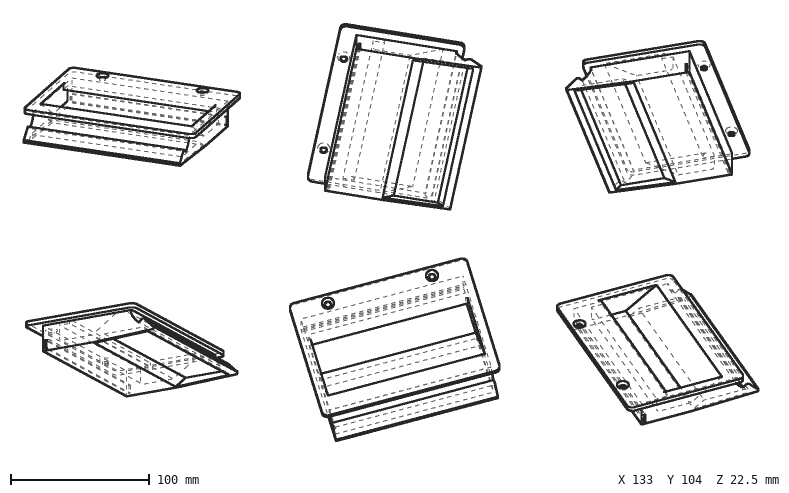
import cadquery as cq
import math

PLATE_WIDTH = 133.0
PLATE_LENGTH = 91.0
PLATE_THICKNESS = 3.2
PLATE_CORNER_RADIUS = 4.0
PLATE_BACK = PLATE_LENGTH / 2
PLATE_FRONT = -PLATE_LENGTH / 2

SCREW_DIAMETER = 4.5
SCREW_HEAD_DIAMETER = 8.6
SCREW_SPACING = 78.0
SCREW_EDGE_DISTANCE = 7.0
COUNTERSINK_ANGLE = 90.0

TOTAL_LENGTH = 104.0
TOTAL_HEIGHT = 22.5
BODY_WIDTH = 121.5
BODY_BACK = PLATE_BACK - 12.2
BODY_BOTTOM = -TOTAL_HEIGHT
BOTTOM_BEND = PLATE_BACK - 54.0
BOTTOM_SLOPE_END = -20.5

HOOK_FRONT = PLATE_BACK - TOTAL_LENGTH
HOOK_EDGE_RADIUS = 1.0
HOOK_LEDGE_WIDTH = 0.5
HOOK_LEDGE_Z = -18.4
RIDGE_Z = -11.1
RIDGE_RADIUS = 2.0

GROOVE_TOP_Y = PLATE_FRONT + 5.0
GROOVE_BACK_Y = PLATE_FRONT + 5.6
GROOVE_BACK_Z = -4.8
GROOVE_JOIN_Y = PLATE_FRONT + 5.4
GROOVE_JOIN_Z = -5.8
GROOVE_BOTTOM_Z = -13.6
GROOVE_RADIUS = 18.0

POCKET_WIDTH = 117.6
POCKET_DEPTH = 16.2
POCKET_FRONT = PLATE_BACK - 76.1
POCKET_FLOOR_FRONT = PLATE_BACK - 52.0
POCKET_BACK = PLATE_BACK - 24.9
POCKET_FLOOR_RADIUS = 2.3
LIP_EDGE = PLATE_BACK - 33.2
LIP_RADIUS = 2.5
LIP_THICKNESS = 4.4

RECESS_FRONT = HOOK_FRONT + 4.0
RECESS_CEILING = -17.0

SLOT_WIDTH = 1.2
SLOT_HEIGHT = 6.0
SLOT_CENTRE_Y = BODY_BACK - 2.45
SLOT_CENTRE_Z = -17.5


def extrude_across(profile, width):
    """Extrude a YZ profile to the given width, centred on X = 0."""
    return profile.close().extrude(width / 2, both=True)


def make_plate():
    return (
        cq.Workplane("XY")
        .box(PLATE_WIDTH, PLATE_LENGTH, PLATE_THICKNESS, centered=(True, True, False))
        .translate((0, 0, -PLATE_THICKNESS))
        .edges("|Z")
        .fillet(PLATE_CORNER_RADIUS)
    )


def make_body():
    top_z = -PLATE_THICKNESS
    ledge_back = HOOK_FRONT + HOOK_LEDGE_WIDTH
    corner_z = RIDGE_Z + RIDGE_RADIUS * (math.sqrt(2) - 1)
    corner_y = ledge_back + (corner_z - HOOK_LEDGE_Z)
    tangent_offset = RIDGE_RADIUS / math.sqrt(2)
    tangent_z = corner_z - tangent_offset
    groove_bottom_y = corner_y + (corner_z - GROOVE_BOTTOM_Z)
    profile = (
        cq.Workplane("YZ")
        .moveTo(BODY_BACK, top_z)
        .lineTo(BODY_BACK, BODY_BOTTOM)
        .lineTo(BOTTOM_BEND, BODY_BOTTOM)
        .lineTo(HOOK_FRONT, BOTTOM_SLOPE_END)
        .lineTo(HOOK_FRONT, HOOK_LEDGE_Z)
        .lineTo(ledge_back, HOOK_LEDGE_Z)
        .lineTo(corner_y - tangent_offset, tangent_z)
        .threePointArc((corner_y, RIDGE_Z), (corner_y + tangent_offset, tangent_z))
        .lineTo(groove_bottom_y, GROOVE_BOTTOM_Z)
        .radiusArc((GROOVE_JOIN_Y, GROOVE_JOIN_Z), -GROOVE_RADIUS)
        .threePointArc((GROOVE_BACK_Y, GROOVE_BACK_Z), (GROOVE_TOP_Y, top_z))
    )
    body = extrude_across(profile, BODY_WIDTH)
    nose_edge = cq.selectors.NearestToPointSelector((0, HOOK_FRONT, BOTTOM_SLOPE_END))
    return body.edges(nose_edge).fillet(HOOK_EDGE_RADIUS)


def make_underside_recess():
    """Hollow behind the hook, between the side walls and the sloped pocket shell."""
    slope_run = (POCKET_FLOOR_FRONT - POCKET_FRONT) / POCKET_DEPTH
    ceiling_rise = RECESS_CEILING - BODY_BOTTOM
    profile = (
        cq.Workplane("YZ")
        .moveTo(BOTTOM_BEND, BODY_BOTTOM)
        .lineTo(BOTTOM_BEND - slope_run * ceiling_rise, RECESS_CEILING)
        .lineTo(RECESS_FRONT + ceiling_rise, RECESS_CEILING)
        .lineTo(RECESS_FRONT, BODY_BOTTOM)
    )
    return extrude_across(profile, POCKET_WIDTH)


def make_pocket():
    floor_z = -POCKET_DEPTH
    lip_top_y = LIP_EDGE + LIP_RADIUS
    profile = (
        cq.Workplane("YZ")
        .moveTo(POCKET_FRONT, 0)
        .lineTo(POCKET_FLOOR_FRONT, floor_z)
        .lineTo(POCKET_BACK - POCKET_FLOOR_RADIUS, floor_z)
        .radiusArc((POCKET_BACK, floor_z + POCKET_FLOOR_RADIUS), -POCKET_FLOOR_RADIUS)
        .lineTo(POCKET_BACK, -LIP_THICKNESS)
        .lineTo(LIP_EDGE, -LIP_THICKNESS)
        .lineTo(LIP_EDGE, -LIP_RADIUS)
        .radiusArc((lip_top_y, 0), LIP_RADIUS)
    )
    return extrude_across(profile, POCKET_WIDTH)


def make_slot():
    return (
        cq.Workplane("XY")
        .box(BODY_WIDTH, SLOT_WIDTH, SLOT_HEIGHT)
        .translate((0, SLOT_CENTRE_Y, SLOT_CENTRE_Z))
    )


def drill_screw_holes(part):
    hole_y = PLATE_BACK - SCREW_EDGE_DISTANCE
    return (
        part.faces(">Z")
        .workplane(origin=(0, 0, 0))
        .pushPoints([(side * SCREW_SPACING / 2, hole_y) for side in (-1, 1)])
        .cskHole(SCREW_DIAMETER, SCREW_HEAD_DIAMETER, COUNTERSINK_ANGLE, PLATE_THICKNESS)
    )


solid = make_plate().union(make_body())
for void in (make_pocket(), make_underside_recess(), make_slot()):
    solid = solid.cut(void)
result = drill_screw_holes(solid)